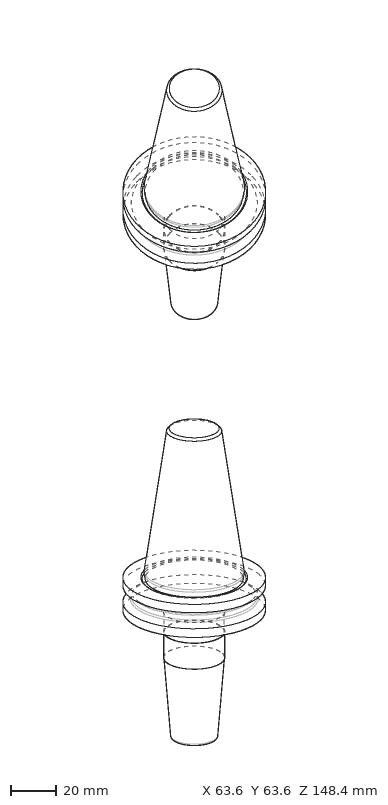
import cadquery as cq
import math

overall_height = 148.4
gauge_z = 80.0
flange_top_z = gauge_z - 3.1
flange_bottom_z = gauge_z - 19.0
groove_center_z = gauge_z - 11.0
collar_top_z = 50.8
collar_bottom_z = 38.3

taper_small_radius = 12.3
gauge_radius = 22.3
taper_tip_chamfer = 1.2

relief_radius = 21.8
relief_start_z = gauge_z - 1.2
relief_outer_radius = 23.7
relief_depth = 0.6

flange_radius = 31.8
groove_floor_radius = 28.0
groove_floor_width = 2.2
groove_corner_fillet = 1.0
groove_wall_angle = math.radians(60)

neck_radius = 13.4
neck_root_radius = 13.7
neck_root_fillet = 0.7
neck_root_end_z = flange_bottom_z - 2.1
collar_radius = 13.7
nose_top_radius = 13.5
nose_tip_radius = 10.5
nose_tip_fillet = 1.0


def make_taper():
    """Cone, short gauge land and undercut down to the flange relief."""
    relief_bottom_z = flange_top_z - relief_depth
    return (
        cq.Workplane("XZ")
        .moveTo(0, relief_bottom_z)
        .lineTo(relief_radius, relief_bottom_z)
        .lineTo(gauge_radius, relief_start_z)
        .lineTo(gauge_radius, gauge_z)
        .lineTo(taper_small_radius, overall_height - taper_tip_chamfer)
        .lineTo(taper_small_radius - taper_tip_chamfer, overall_height)
        .lineTo(0, overall_height)
        .close()
        .revolve(360, (0, 0), (0, 1))
    )


def make_flange():
    """Disc with a V groove in its rim and a shallow relief in its upper face."""
    floor_half = groove_floor_width / 2
    wall_root_half = floor_half + groove_corner_fillet * math.sin(groove_wall_angle)
    wall_root_radius = groove_floor_radius + groove_corner_fillet * (1 - math.cos(groove_wall_angle))
    mouth_half = wall_root_half + (flange_radius - wall_root_radius) / math.tan(groove_wall_angle)
    return (
        cq.Workplane("XZ")
        .moveTo(0, flange_bottom_z)
        .lineTo(flange_radius, flange_bottom_z)
        .lineTo(flange_radius, groove_center_z - mouth_half)
        .lineTo(wall_root_radius, groove_center_z - wall_root_half)
        .radiusArc((groove_floor_radius, groove_center_z - floor_half), groove_corner_fillet)
        .lineTo(groove_floor_radius, groove_center_z + floor_half)
        .radiusArc((wall_root_radius, groove_center_z + wall_root_half), groove_corner_fillet)
        .lineTo(flange_radius, groove_center_z + mouth_half)
        .lineTo(flange_radius, flange_top_z)
        .lineTo(relief_outer_radius, flange_top_z)
        .lineTo(relief_outer_radius - relief_depth, flange_top_z - relief_depth)
        .lineTo(0, flange_top_z - relief_depth)
        .close()
        .revolve(360, (0, 0), (0, 1))
    )


def make_nose():
    """Neck, cylindrical collar and tapered nose with a rounded tip."""
    fillet_bottom_z = flange_bottom_z - neck_root_fillet
    return (
        cq.Workplane("XZ")
        .lineTo(nose_tip_radius - nose_tip_fillet, 0)
        .radiusArc((nose_tip_radius, nose_tip_fillet), -nose_tip_fillet)
        .lineTo(nose_top_radius, collar_bottom_z)
        .lineTo(collar_radius, collar_bottom_z)
        .lineTo(collar_radius, collar_top_z)
        .lineTo(neck_radius, collar_top_z)
        .lineTo(neck_radius, neck_root_end_z)
        .lineTo(neck_root_radius, fillet_bottom_z)
        .radiusArc((neck_root_radius + neck_root_fillet, flange_bottom_z), neck_root_fillet)
        .lineTo(0, flange_bottom_z)
        .close()
        .revolve(360, (0, 0), (0, 1))
    )


result = make_flange().union(make_taper()).union(make_nose())